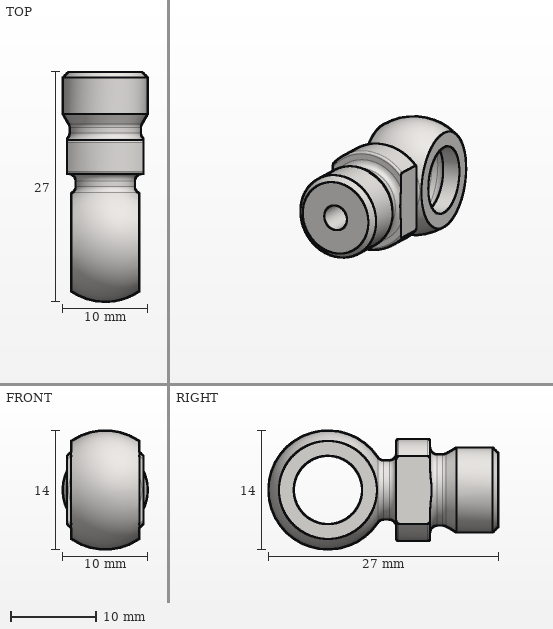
import cadquery as cq
import math

total_length = 27.0

ball_radius = 7.005
eye_width = 8.0
bore_radius = 4.0
groove_floor_width = 0.75
groove_corner_radius = 1.48
groove_floor_radius = bore_radius + groove_corner_radius

stem_radius = 5.007
stem_length = 4.9
end_chamfer = 0.67
cone_angle = math.radians(30)
outer_neck_radius = 4.197
outer_neck_length = 0.65
inner_neck_radius = 3.495
neck_fillet = 0.8
passage_radius = 1.498

collar_radius = 6.005
collar_length = 4.0
collar_edge_radius = 0.3
across_flats = 9.01

stem_end = total_length - ball_radius
cone_start = stem_end - stem_length
cone_tip_radius = outer_neck_radius + neck_fillet * (1 - math.cos(cone_angle))
cone_tip = cone_start - (stem_radius - cone_tip_radius) / math.tan(cone_angle)
outer_neck_start = cone_tip - neck_fillet * math.sin(cone_angle)
outer_neck_end = outer_neck_start - outer_neck_length
collar_back = outer_neck_end - neck_fillet
collar_front = collar_back - collar_length
inner_neck_start = collar_front - neck_fillet

inner_neck_fillet_centre = inner_neck_radius + neck_fillet
inner_neck_end = math.sqrt((ball_radius + neck_fillet) ** 2 - inner_neck_fillet_centre ** 2)
touch_ratio = ball_radius / (ball_radius + neck_fillet)
ball_touch = (inner_neck_fillet_centre * touch_ratio, inner_neck_end * touch_ratio)


def arc_point(centre_radius, centre_y, radius, angle):
    """Point (radial distance, Y) on a profile arc, the angle measured from the radial direction."""
    return (centre_radius + radius * math.cos(angle), centre_y + radius * math.sin(angle))


def make_turned_body():
    outer_neck_fillet_centre = outer_neck_radius + neck_fillet
    edge_centre = collar_radius - collar_edge_radius
    back_edge = collar_back - collar_edge_radius
    front_edge = collar_front + collar_edge_radius
    diagonal = math.radians(45)
    touch_angle = math.pi + math.atan2(inner_neck_end, inner_neck_fillet_centre)
    ball_fillet_middle = (math.pi + touch_angle) / 2
    profile = (
        cq.Workplane("XY")
        .moveTo(0, stem_end)
        .lineTo(stem_radius - end_chamfer, stem_end)
        .lineTo(stem_radius, stem_end - end_chamfer)
        .lineTo(stem_radius, cone_start)
        .lineTo(cone_tip_radius, cone_tip)
        .threePointArc(
            arc_point(outer_neck_fillet_centre, outer_neck_start, neck_fillet, math.pi - cone_angle / 2),
            (outer_neck_radius, outer_neck_start),
        )
        .lineTo(outer_neck_radius, outer_neck_end)
        .threePointArc(
            arc_point(outer_neck_fillet_centre, outer_neck_end, neck_fillet, math.pi + diagonal),
            (outer_neck_fillet_centre, collar_back),
        )
        .lineTo(edge_centre, collar_back)
        .threePointArc(
            arc_point(edge_centre, back_edge, collar_edge_radius, diagonal),
            (collar_radius, back_edge),
        )
        .lineTo(collar_radius, front_edge)
        .threePointArc(
            arc_point(edge_centre, front_edge, collar_edge_radius, -diagonal),
            (edge_centre, collar_front),
        )
        .lineTo(inner_neck_fillet_centre, collar_front)
        .threePointArc(
            arc_point(inner_neck_fillet_centre, inner_neck_start, neck_fillet, math.pi - diagonal),
            (inner_neck_radius, inner_neck_start),
        )
        .lineTo(inner_neck_radius, inner_neck_end)
        .threePointArc(
            arc_point(inner_neck_fillet_centre, inner_neck_end, neck_fillet, ball_fillet_middle),
            ball_touch,
        )
        .threePointArc((ball_radius, 0), (0, -ball_radius))
        .close()
    )
    return profile.revolve(360, (0, 0, 0), (0, 1, 0))


def make_side_limits():
    """Envelope whose parallel sides form the eye faces and the wrench flats."""
    height = 2 * ball_radius
    eye_end = (inner_neck_start + inner_neck_end) / 2
    eye = cq.Workplane("XY").box(eye_width, ball_radius + eye_end, height)
    eye = eye.translate((0, (eye_end - ball_radius) / 2, 0))
    flats_end = (outer_neck_start + outer_neck_end) / 2
    collar = cq.Workplane("XY").box(across_flats, flats_end - eye_end, height)
    collar = collar.translate((0, (flats_end + eye_end) / 2, 0))
    stem = cq.Workplane("XY").box(height, stem_end - flats_end, height)
    stem = stem.translate((0, (stem_end + flats_end) / 2, 0))
    return eye.union(collar).union(stem)


def make_bore():
    """Bore with an annular groove whose two corners are rounded."""
    half_eye = eye_width / 2
    half_floor = groove_floor_width / 2
    half_groove = half_floor + groove_corner_radius
    bore = cq.Workplane("YZ").circle(bore_radius).extrude(half_eye, both=True)
    diagonal_step = groove_corner_radius * math.sqrt(0.5)
    groove = (
        cq.Workplane("XY")
        .moveTo(-half_groove, 0)
        .lineTo(-half_groove, bore_radius)
        .threePointArc(
            (-half_floor - diagonal_step, bore_radius + diagonal_step),
            (-half_floor, groove_floor_radius),
        )
        .lineTo(half_floor, groove_floor_radius)
        .threePointArc(
            (half_floor + diagonal_step, bore_radius + diagonal_step),
            (half_groove, bore_radius),
        )
        .lineTo(half_groove, 0)
        .close()
        .revolve(360, (0, 0, 0), (1, 0, 0))
    )
    return bore.union(groove)


def make_passage():
    """Flow passage from the bore out through the free end of the stem."""
    return cq.Workplane("XZ").circle(passage_radius).extrude(-stem_end)


result = make_turned_body().intersect(make_side_limits()).cut(make_bore()).cut(make_passage())